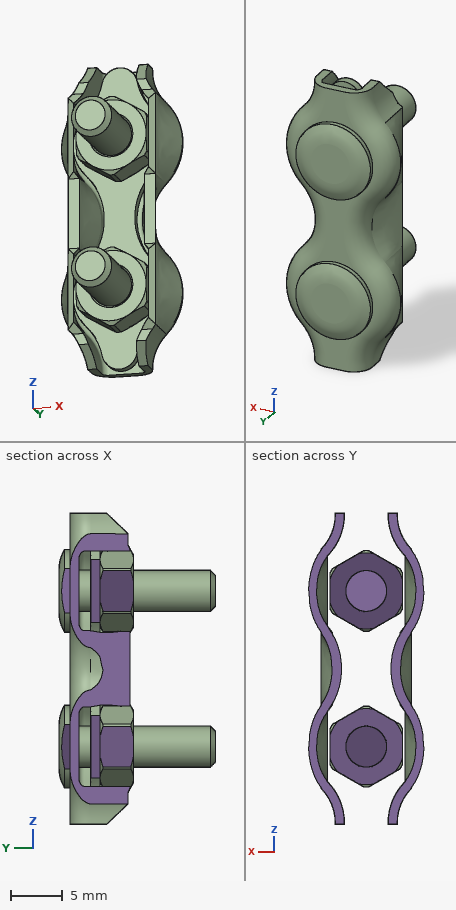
import cadquery as cq
import math


length = 30.0
half_length = length / 2
screw_height = 7.5
screw_heights = (-screw_height, screw_height)

sheet = 0.9
outer_bend = 2.0
inner_bend = 0.5
wall_start = -outer_bend

bulge_radius = 5.7
bulge_centre_x = 0.33
waist_radius = screw_height / math.cos(math.radians(45)) - bulge_radius
waist_centre_x = bulge_centre_x + screw_height
end_radius = 4.65
end_centre_offset = (bulge_radius + end_radius) * math.cos(math.radians(45))
end_centre_x = bulge_centre_x + end_centre_offset
end_centre_z = screw_height + end_centre_offset

wall_front = -5.82
lip_front = -6.15
waist_edge_inner_x = 3.25
step_front = -5.6
step_top = 13.02
end_front = -3.55

plate_back = -2.0
plate_thickness = 0.9
plate_front = plate_back - plate_thickness
plate_inset = sheet + inner_bend
tip_corner_height = 13.65

shaft_diameter = 4.0
shaft_radius = shaft_diameter / 2
shaft_end = -14.05
shaft_chamfer = 0.5
head_radius = 8.0 / 2
head_rim = 0.5
head_height = 1.05
head_flat_radius = 2.1
dome_radius = 3.6

nut_width = 7.0
nut_front = -6.15
nut_tip_radius = 7.8 / 2
nut_chamfer = 0.27
countersink = 0.18


def circle_arc(centre_x, centre_z, radius, start, end):
    """Arc between two angles in degrees."""
    angles = [math.radians(a) for a in (start, (start + end) / 2, end)]
    return [(centre_x + radius * math.cos(a), centre_z + radius * math.sin(a)) for a in angles]


def mirror_z(arc):
    return [(x, -z) for x, z in reversed(arc)]


def mirror_x(arc):
    return [(-x, z) for x, z in reversed(arc)]


def bulge_arc(inset):
    """Upper bulge on the +X side, from bottom to top."""
    return circle_arc(bulge_centre_x, screw_height, bulge_radius - inset, -45, 45)


def waist_arc(inset):
    """Hollow between the two bulges on the +X side, from bottom to top."""
    return circle_arc(waist_centre_x, 0, waist_radius + inset, 225, 135)


def end_arc(inset, end_height=half_length):
    """Hollow from the upper bulge up to the end height on the +X side."""
    radius = end_radius + inset
    last = 180 - math.degrees(math.asin((end_height - end_centre_z) / radius))
    return circle_arc(end_centre_x, end_centre_z, radius, 225, last)


def outline_prism(inset, back, depth, end_height=half_length):
    """Prism of the whole outline from Y = back towards -Y, with round tips if the sides end early."""
    upper = [bulge_arc(inset), end_arc(inset, end_height)]
    lower = [mirror_z(arc) for arc in reversed(upper)]
    right = [*lower, waist_arc(inset), *upper]
    left = [mirror_x(arc) for arc in reversed(right)]
    sketch = cq.Workplane("XZ", origin=(0, back, 0)).moveTo(*right[0][0])
    for side, next_start, tip in ((right, left[0][0], half_length), (left, right[0][0], -half_length)):
        for _, middle, end in side:
            sketch = sketch.threePointArc(middle, end)
        if end_height < half_length:
            sketch = sketch.threePointArc((0, tip), next_start)
        else:
            sketch = sketch.lineTo(*next_start)
    return sketch.close().extrude(depth)


def at_depth(y, point):
    return cq.Vector(point[0], y, point[1])


def line(start, end):
    return cq.Edge.makeLine(start, end)


def arc_edge(arc):
    """Arc in the plane where the walls begin."""
    return cq.Edge.makeThreePointArc(*[at_depth(wall_start, point) for point in arc])


def flat_face(*corners):
    return cq.Face.makeFromWires(cq.Wire.makePolygon(corners, close=True))


def root_face(outer, inner):
    """Flat face between an outer and an inner arc, where a wall leaves the bend."""
    outer_edge = arc_edge(outer)
    inner_edge = arc_edge(inner)
    edges = [
        outer_edge,
        line(outer_edge.endPoint(), inner_edge.endPoint()),
        inner_edge,
        line(inner_edge.startPoint(), outer_edge.startPoint()),
    ]
    return cq.Face.makeFromWires(cq.Wire.assembleEdges(edges))


def solid_of(faces):
    return cq.Solid.makeSolid(cq.Shell.makeShell(faces)).fix()


def bulge_wall():
    """Wall of the upper +X bulge, narrowing from its arcs to a straight lip."""
    outer, inner = bulge_arc(0), bulge_arc(sheet)
    outer_low, outer_high = at_depth(wall_front, outer[0]), at_depth(wall_front, outer[2])
    inner_low, inner_high = at_depth(lip_front, inner[0]), at_depth(lip_front, inner[2])
    root_outer_low, root_outer_high = at_depth(wall_start, outer[0]), at_depth(wall_start, outer[2])
    root_inner_low, root_inner_high = at_depth(wall_start, inner[0]), at_depth(wall_start, inner[2])
    return solid_of([
        cq.Face.makeRuledSurface(arc_edge(outer), line(outer_low, outer_high)),
        cq.Face.makeRuledSurface(arc_edge(inner), line(inner_low, inner_high)),
        flat_face(outer_low, outer_high, inner_high, inner_low),
        flat_face(root_outer_low, outer_low, inner_low, root_inner_low),
        flat_face(root_outer_high, outer_high, inner_high, root_inner_high),
        root_face(outer, inner),
    ])


def waist_wall():
    """Wall of the +X hollow between the bulges, widening from its arcs to a straight front edge."""
    outer, inner = waist_arc(0), waist_arc(sheet)
    outer_low, outer_high = at_depth(wall_front, outer[0]), at_depth(wall_front, outer[2])
    inner_low = cq.Vector(waist_edge_inner_x, wall_front, outer_low.z)
    inner_high = cq.Vector(waist_edge_inner_x, wall_front, outer_high.z)
    faces = [
        cq.Face.makeRuledSurface(arc_edge(outer), line(outer_low, outer_high)),
        cq.Face.makeRuledSurface(arc_edge(inner), line(inner_low, inner_high)),
        flat_face(outer_low, outer_high, inner_high, inner_low),
        root_face(outer, inner),
    ]
    for outer_end, inner_end, outer_corner, inner_corner in (
        (outer[0], inner[0], outer_low, inner_low),
        (outer[2], inner[2], outer_high, inner_high),
    ):
        root_outer = at_depth(wall_start, outer_end)
        root_inner = at_depth(wall_start, inner_end)
        lip_corner = at_depth(lip_front, inner_end)
        faces += [
            flat_face(root_outer, outer_corner, lip_corner, root_inner),
            flat_face(outer_corner, lip_corner, inner_corner),
            flat_face(root_inner, lip_corner, inner_corner),
        ]
    return solid_of(faces)


def end_wall():
    """Upright wall of the upper +X end, with its front trimmed to a lip, a flat step and a slope."""
    reach = cq.Vector(0, lip_front - wall_start, 0)
    wall = cq.Solid.extrudeLinear(root_face(end_arc(0), end_arc(sheet)), reach)
    lip_outer_z = bulge_arc(0)[2][1]
    lip_inner_z = bulge_arc(sheet)[2][1]
    lip_rise = (lip_outer_z - lip_inner_z) / (wall_front - lip_front)
    step_bottom = lip_outer_z + lip_rise * (step_front - wall_front)
    side_profile = [
        (0, lip_inner_z),
        (lip_front, lip_inner_z),
        (step_front, step_bottom),
        (step_front, step_top),
        (end_front, half_length),
        (0, half_length),
    ]
    trim = cq.Workplane("YZ").polyline(side_profile).close().extrude(half_length)
    return trim.intersect(cq.Workplane(wall)).val()


def screw_hole(back, depth, height):
    return cq.Workplane("XZ", origin=(0, back, height)).circle(shaft_radius).extrude(depth)


def bent_prism(inset, bend):
    """Outline prism set in from the outside, with a bent back edge, ending where the walls begin."""
    depth = -inset - wall_start
    block = outline_prism(inset, -inset, depth + bend)
    block = block.faces(">Y").edges("not(<Z or >Z)").fillet(bend)
    keep = cq.Workplane("XZ", origin=(0, -inset, 0)).rect(length, length).extrude(depth)
    return block.intersect(keep)


def make_housing():
    housing = bent_prism(0, outer_bend).cut(bent_prism(sheet, inner_bend))
    walls = cq.Workplane(waist_wall())
    for wall in (bulge_wall(), end_wall()):
        walls = walls.union(cq.Workplane(wall)).union(cq.Workplane(wall.mirror("XY")))
    housing = housing.union(walls).union(walls.mirror("YZ"))
    for height in screw_heights:
        housing = housing.cut(screw_hole(0, sheet, height))
    return housing


def make_plate():
    plate = outline_prism(plate_inset, plate_back, plate_thickness, tip_corner_height)
    for height in screw_heights:
        plate = plate.cut(screw_hole(plate_back, plate_thickness, height))
    return plate


def make_screw(height):
    dome_middle_radius = (head_flat_radius + head_radius) / 2
    dome_drop = dome_radius - math.sqrt(dome_radius**2 - (dome_middle_radius - head_flat_radius) ** 2)
    profile = (
        cq.Workplane("YZ")
        .moveTo(shaft_end, 0)
        .lineTo(shaft_end, shaft_radius - shaft_chamfer)
        .lineTo(shaft_end + shaft_chamfer, shaft_radius)
        .lineTo(0, shaft_radius)
        .lineTo(0, head_radius)
        .lineTo(head_rim, head_radius)
        .threePointArc((head_height - dome_drop, dome_middle_radius), (head_height, head_flat_radius))
        .lineTo(head_height, 0)
        .close()
    )
    return profile.revolve(360, (0, 0, 0), (1, 0, 0)).translate((0, 0, height))


def turned(profile):
    """Solid of revolution about the Y axis from (radius, y) points."""
    return cq.Workplane("XY").polyline(profile).close().revolve(360, (0, 0, 0), (0, 1, 0))


def make_nut(height):
    flat_radius = nut_width / 2
    prism = (
        cq.Workplane("XZ", origin=(0, plate_front, 0))
        .polygon(6, nut_width, circumscribed=True)
        .extrude(plate_front - nut_front)
    )
    chamfered_blank = turned([
        (0, plate_front),
        (flat_radius, plate_front),
        (nut_tip_radius, plate_front - nut_chamfer),
        (nut_tip_radius, nut_front + nut_chamfer),
        (flat_radius, nut_front),
        (0, nut_front),
    ])
    bore = turned([
        (0, plate_front),
        (shaft_radius, plate_front),
        (shaft_radius, nut_front + countersink),
        (shaft_radius + countersink, nut_front),
        (0, nut_front),
    ])
    return prism.intersect(chamfered_blank).cut(bore).translate((0, 0, height))


housing = make_housing()
plate = make_plate()
screws = [make_screw(height).val() for height in screw_heights]
nuts = [make_nut(height).val() for height in screw_heights]

result = cq.Compound.makeCompound([housing.val(), plate.val(), *screws, *nuts])